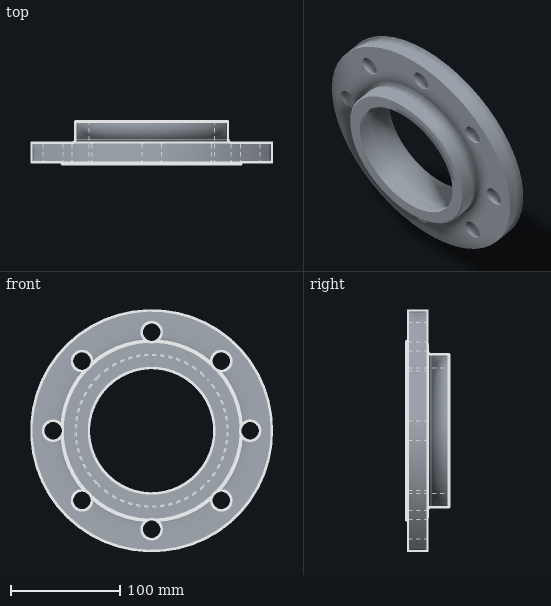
import cadquery as cq
import math

flange_diameter = 220.0
flange_thickness = 18.0
bore_diameter = 114.5

face_height = 2.0
face_base_diameter = 165.0
face_diameter = 162.8

total_length = 40.0
hub_diameter = 140.0
hub_fillet = 3.0
hub_edge_chamfer = 1.0

bolt_count = 8
bolt_circle_diameter = 180.0
bolt_hole_diameter = 18.0

face_front = -total_length / 2
flange_front = face_front + face_height
flange_back = flange_front + flange_thickness
hub_back = total_length / 2


def revolved_body():
    """Turn the half section about the Y axis, bore included."""
    bore_radius = bore_diameter / 2
    flange_radius = flange_diameter / 2
    hub_radius = hub_diameter / 2
    fillet_mid_offset = hub_fillet * (1 - math.sqrt(0.5))
    return (
        cq.Workplane("XY")
        .moveTo(bore_radius, face_front)
        .lineTo(face_diameter / 2, face_front)
        .lineTo(face_base_diameter / 2, flange_front)
        .lineTo(flange_radius, flange_front)
        .lineTo(flange_radius, flange_back)
        .lineTo(hub_radius + hub_fillet, flange_back)
        .threePointArc(
            (hub_radius + fillet_mid_offset, flange_back + fillet_mid_offset),
            (hub_radius, flange_back + hub_fillet),
        )
        .lineTo(hub_radius, hub_back - hub_edge_chamfer)
        .lineTo(hub_radius - hub_edge_chamfer, hub_back)
        .lineTo(bore_radius, hub_back)
        .close()
        .revolve(360, (0, 0, 0), (0, 1, 0))
    )


def bolt_holes():
    """Ring of cylinders through the flange plate and raised face rim."""
    return (
        cq.Workplane("XZ", origin=(0, flange_back, 0))
        .polarArray(bolt_circle_diameter / 2, 0, 360, bolt_count)
        .circle(bolt_hole_diameter / 2)
        .extrude(flange_thickness + face_height)
    )


result = revolved_body().cut(bolt_holes())